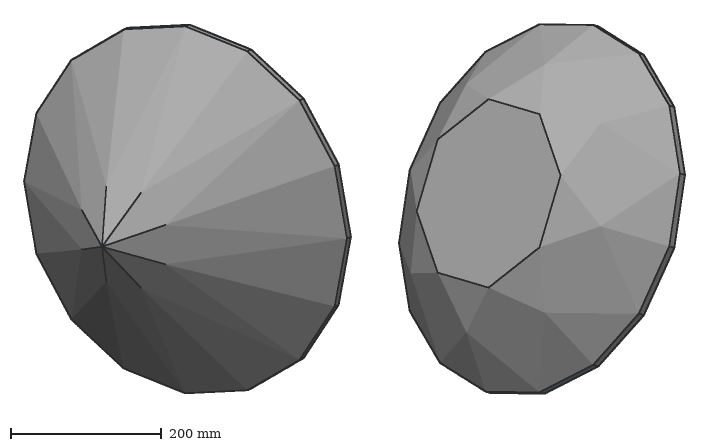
import cadquery as cq
import math

girdle_radius = 254.0
total_height = 317.0
girdle_thickness = 10.0
crown_height = 99.5
table_radius = 130.0
star_tip_radius = 185.5
pavilion_tip_radius = 71.0

symmetry = 8
step = 360.0 / symmetry
half_step = step / 2

girdle_bottom = 0.0
girdle_top = girdle_bottom + girdle_thickness
table_level = girdle_top + crown_height
culet_level = table_level - total_height

tip_projection = math.cos(math.radians(half_step))
crown_slope = crown_height / (girdle_radius - table_radius)
star_tip_level = table_level - crown_slope * (star_tip_radius * tip_projection - table_radius)
pavilion_slope = (girdle_bottom - culet_level) / girdle_radius
pavilion_tip_level = culet_level + pavilion_slope * pavilion_tip_radius * tip_projection


def point(radius, angle, level):
    """Point at a radius and angle about the Y axis."""
    turn = math.radians(angle)
    return cq.Vector(radius * math.cos(turn), level, radius * math.sin(turn))


def table_corner(angle):
    return point(table_radius, angle, table_level)


def star_tip(angle):
    return point(star_tip_radius, angle, star_tip_level)


def upper_girdle(angle):
    return point(girdle_radius, angle, girdle_top)


def lower_girdle(angle):
    return point(girdle_radius, angle, girdle_bottom)


def pavilion_tip(angle):
    return point(pavilion_tip_radius, angle, pavilion_tip_level)


def facet(*corners):
    return cq.Face.makeFromWires(cq.Wire.makePolygon(corners, close=True))


def sector_facets(middle):
    """Facets of one symmetry sector, centred on a main facet."""
    culet = cq.Vector(0, culet_level, 0)
    before = middle - half_step
    after = middle + half_step
    facets = [
        facet(table_corner(middle), table_corner(middle + step), star_tip(after)),
        facet(table_corner(middle), star_tip(before), upper_girdle(middle), star_tip(after)),
        facet(culet, pavilion_tip(before), lower_girdle(middle), pavilion_tip(after)),
    ]
    for side in (before, after):
        facets.append(facet(star_tip(side), upper_girdle(middle), upper_girdle(side)))
        facets.append(
            facet(upper_girdle(middle), upper_girdle(side), lower_girdle(side), lower_girdle(middle))
        )
        facets.append(facet(pavilion_tip(side), lower_girdle(middle), lower_girdle(side)))
    return facets


sector_angles = [sector * step for sector in range(symmetry)]
faces = [facet(*[table_corner(angle) for angle in sector_angles])]
for sector_angle in sector_angles:
    faces.extend(sector_facets(sector_angle))

gem = cq.Solid.makeSolid(cq.Shell.makeShell(faces))
result = cq.Workplane("XY").newObject([gem.fix()])